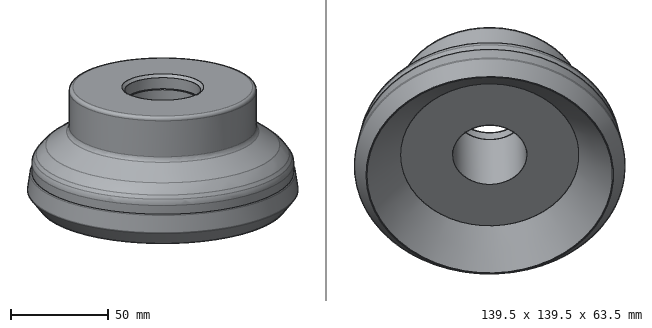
import cadquery as cq
import math


outer_diameter = 139.5
total_height = 63.5
outer_radius = outer_diameter / 2

neck_radius = 48.3
skirt_radius = 67.5
neck_foot_z = 40.3
shoulder_radius = 63.2
shoulder_z = 29.9
skirt_top_z = 23.7
top_edge_fillet = 2.0
neck_foot_fillet = 3.1
shoulder_fillet = 20.4
skirt_top_fillet = 5.3

bore_entry_radius = 19.5
bore_radius = 19.1
bore_step_depth = 7.5
entry_chamfer = 1.5

ring_height = 17.3
ring_top_radius = 68.4
ring_widest_z = 7.7
ring_foot_radius = 63.8
ring_top_fillet = 0.4
ring_widest_fillet = 0.7
widest_fillet_loss = 0.035
ring_foot_land = 0.5
mouth_angle = 45.0


def revolve_outline(points):
    """Turn a closed outline of (radius, z) points about the Z axis."""
    return cq.Workplane("XZ").polyline(points).close().revolve(360, (0, 0), (0, 1))


def circle_edge(radius, z):
    """Select the circular edge centred on the Z axis that has this radius and height."""
    margin = 0.07
    outside = cq.selectors.BoxSelector(
        (-radius - margin, -radius - margin, z - margin),
        (radius + margin, radius + margin, z + margin),
        boundingbox=True,
    )
    inside = cq.selectors.BoxSelector(
        (-radius + margin, -radius + margin, z - margin),
        (radius - margin, radius - margin, z + margin),
        boundingbox=True,
    )
    return outside - inside


def make_housing():
    step_z = total_height - bore_step_depth
    bore_step = bore_entry_radius - bore_radius
    body = revolve_outline([
        (bore_radius, ring_height),
        (skirt_radius, ring_height),
        (skirt_radius, skirt_top_z),
        (shoulder_radius, shoulder_z),
        (neck_radius, neck_foot_z),
        (neck_radius, total_height),
        (bore_entry_radius + entry_chamfer, total_height),
        (bore_entry_radius, total_height - entry_chamfer),
        (bore_entry_radius, step_z),
        (bore_radius, step_z - bore_step),
    ])
    fillets = [
        (neck_radius, total_height, top_edge_fillet),
        (neck_radius, neck_foot_z, neck_foot_fillet),
        (shoulder_radius, shoulder_z, shoulder_fillet),
        (skirt_radius, skirt_top_z, skirt_top_fillet),
    ]
    for radius, z, fillet in fillets:
        body = body.edges(circle_edge(radius, z)).fillet(fillet)
    return body


def make_rim_ring():
    mouth_radius = ring_foot_radius - ring_foot_land
    throat_radius = mouth_radius - ring_height * math.tan(math.radians(mouth_angle))
    corner_radius = outer_radius + widest_fillet_loss
    ring = revolve_outline([
        (mouth_radius, 0),
        (ring_foot_radius, 0),
        (corner_radius, ring_widest_z),
        (ring_top_radius, ring_height),
        (throat_radius, ring_height),
    ])
    ring = ring.edges(circle_edge(ring_top_radius, ring_height)).fillet(ring_top_fillet)
    return ring.edges(circle_edge(corner_radius, ring_widest_z)).fillet(ring_widest_fillet)


housing = make_housing()
rim_ring = make_rim_ring()

result = cq.Compound.makeCompound([housing.val(), rim_ring.val()])